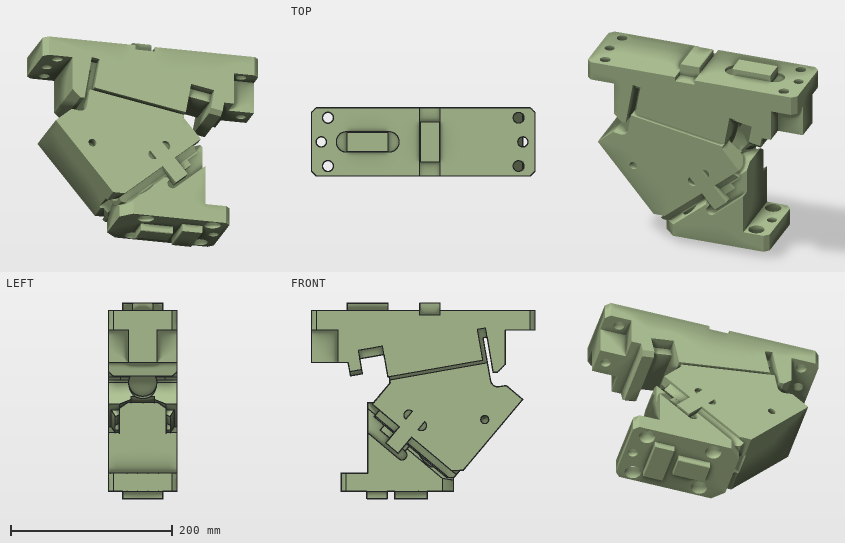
import cadquery as cq
import math

width = 85.0
half_width = width / 2
length = 277.0
height = 243.0
key_height = 9.5
plate_top = height - key_height
key_length = 49.9
key_chamfer = 0.8
slot_key_width = 25.5

guide_angle = math.radians(10)
guide_x, guide_z = 97.0, 147.5
guide_end = 123.0
guide_radius = 17.5
guide_axis = -3.3
guide_recess = 1.5
pad_half_width = 27.7
wall_start = -1.7

ramp_angle = math.radians(-40)
ramp_x, ramp_z = 75.3, 117.5
roof_slope = 0.52
ramp_reach = 277.0
roof_eave = -14.7


def tilted_point(start_x, start_z, angle, along, up):
    """X and Z of a point given along and square to a tilted line."""
    x = start_x + along * math.cos(angle) - up * math.sin(angle)
    z = start_z + along * math.sin(angle) + up * math.cos(angle)
    return (x, z)


def on_guide(along, up):
    return tilted_point(guide_x, guide_z, guide_angle, along, up)


def on_ramp(along, up):
    return tilted_point(ramp_x, ramp_z, ramp_angle, along, up)


def roof_height(y):
    return roof_eave + roof_slope * (half_width - abs(y))


def prism(points, full_width=width):
    """Outline in X and Z, extruded equally to both sides of the middle plane."""
    return cq.Workplane("XZ").polyline(points).close().extrude(full_width / 2, both=True)


def tilted_box(place, start, end, bottom, top, full_width=width):
    """Block along a tilted line; place is on_guide or on_ramp."""
    corners = [(start, bottom), (end, bottom), (end, top), (start, top)]
    return prism([place(along, up) for along, up in corners], full_width)


def both_sides(place, start, end, bottom, top, inner, outer):
    """Two mirrored blocks along a tilted line, from |Y| = inner to |Y| = outer."""
    whole = tilted_box(place, start, end, bottom, top, 2 * outer)
    return whole.cut(tilted_box(place, start, end, bottom, top, 2 * inner))


def cross_plane(origin, angle):
    """Plane square to a tilted line: first axis is Y, second points up from the line."""
    x, z = origin
    direction = (math.cos(angle), 0, math.sin(angle))
    return cq.Workplane(cq.Plane(origin=(x, 0, z), xDir=(0, 1, 0), normal=direction))


def ramp_section(points, start, end):
    """Cross-section in Y and height above the ramp, extruded along the ramp."""
    plane = cross_plane(on_ramp(start, 0), ramp_angle)
    return plane.polyline(points).close().extrude(end - start)


def guide_cylinder(start, end):
    """Round bar along the upper guide."""
    plane = cross_plane(on_guide(start, guide_axis), guide_angle)
    return plane.circle(guide_radius).extrude(end - start)


def block(x_start, x_end, full_width, z_start, z_end):
    size = (x_end - x_start, full_width, z_end - z_start)
    return cq.Workplane("XY").box(*size, centered=(False, True, False)).translate((x_start, 0, z_start))


def drill(body, places, diameter, z_start, z_end):
    holes = cq.Workplane("XY").workplane(offset=z_start).pushPoints(places)
    return body.cut(holes.circle(diameter / 2).extrude(z_end - z_start))


plate_bottom = 209.0
plate_chamfer = 6.0
foot_bottom = 169.0
foot_end = 33.0
foot_width = 35.0
hook_start, hook_end = -47.0, -31.9
hook_bottom = 13.3
hook_chamfer = 5.5
relief = 4.2
slot_top = 43.0
notch_pad_bottom = 32.0
slit_pad_bottom = 31.3
slit_start, slit_end = 117.7, 128.0
claw_x, claw_bottom = 240.2, 156.8
claw_flat = 5.3
claw_chamfer = 10.0

cross_key_start, cross_key_end = 134.0, 159.5
cross_channel_depth = 5.8
long_key_start, long_key_end = 44.3, 95.0
pocket_start, pocket_end = 30.7, 108.5
pocket_depth = 4.2

bolt_y = 30.0
bolt_diameter = 13.3
bolt_xs = (20.5, 256.5)
dowel_diameter = 12.5
dowel_xs = (12.2, 261.8)


def holder_blank():
    hook_root = (foot_bottom - on_guide(hook_start, 0)[1]) / math.cos(guide_angle)
    claw_tip = (claw_x - claw_flat - claw_chamfer, claw_bottom)
    outline = [
        (0, plate_top), (0, foot_bottom), on_guide(hook_start, hook_root),
        on_guide(hook_start, hook_bottom), on_guide(hook_end, hook_bottom),
        on_guide(hook_end, slot_top), on_guide(wall_start, slot_top),
        on_guide(wall_start, relief), on_guide(slit_start, relief),
        on_guide(slit_start, slot_top), on_guide(slit_end, slot_top),
        claw_tip, (claw_tip[0] + claw_flat, claw_bottom),
        (claw_x, claw_bottom + claw_chamfer), (claw_x, plate_bottom),
        (length, plate_bottom), (length, plate_top),
    ]
    return prism(outline)


def holder_pads():
    pad_width = 2 * pad_half_width
    pads = tilted_box(on_guide, 0, guide_end, 0, slot_top, pad_width)
    pads = pads.union(tilted_box(on_guide, hook_end, wall_start, notch_pad_bottom, slot_top, pad_width))
    pads = pads.union(tilted_box(on_guide, slit_start, slit_end, slit_pad_bottom, slot_top, pad_width))
    return pads.union(guide_cylinder(guide_recess, guide_end))


def hook_corner_cuts():
    """Chamfers on the two lower corners of the left hook."""
    plane = cross_plane(on_guide(hook_start, hook_bottom), guide_angle)
    corner = [(half_width, 0), (half_width - hook_chamfer, 0), (half_width, hook_chamfer)]
    cut = plane.polyline(corner).close().extrude(hook_end - hook_start)
    return cut.union(cut.mirror("XZ"))


def long_pocket():
    middle = (pocket_start + pocket_end) / 2
    plane = cq.Workplane("XY", origin=(middle, 0, plate_top))
    return plane.slot2D(pocket_end - pocket_start, slot_key_width).extrude(-pocket_depth)


def make_holder():
    body = holder_blank().union(holder_pads()).cut(hook_corner_cuts())
    body = body.cut(guide_cylinder(wall_start, guide_recess))
    foot_sides = block(0, foot_end, width, foot_bottom, plate_bottom)
    body = body.cut(foot_sides.cut(block(0, foot_end, foot_width, foot_bottom, plate_bottom)))
    plate = block(0, length, width, 0, plate_top).edges("|Z").chamfer(plate_chamfer)
    body = body.intersect(plate)
    channel_floor = plate_top - cross_channel_depth
    body = body.cut(block(cross_key_start, cross_key_end, width, channel_floor, plate_top))
    body = body.cut(long_pocket())
    bolts = [(x, y) for x in bolt_xs for y in (-bolt_y, bolt_y)]
    body = drill(body, bolts, bolt_diameter, plate_bottom, plate_top)
    body = drill(body, [(x, 0) for x in dowel_xs], dowel_diameter, foot_bottom, plate_top)
    cross_key = block(cross_key_start, cross_key_end, key_length, channel_floor, height)
    long_key = block(long_key_start, long_key_end, slot_key_width, plate_top - pocket_depth, height)
    body = body.union(cross_key.faces(">Z").edges("|Y").chamfer(key_chamfer))
    return body.union(long_key.faces(">Z").edges("|X").chamfer(key_chamfer))


slider_length = 139.0
slider_depth = 124.5
step_end = 112.2
slider_end_bottom = 35.5
end_face_height = 35.0
step_floor = -31.3
step_radius = 9.0
groove_start = -33.2
groove_half_width = 28.8
cavity_half_width = 14.5
cavity_height = 12.5
groove_shoulder = roof_slope * (groove_half_width - cavity_half_width)
liner_start, liner_end = 11.5, 136.0
liner_outer_top, liner_outer_bottom = 39.0, 34.3
liner_lip_height = -9.0
liner_lowest = 26.3
strap_start, strap_end = 43.8, 63.7
strap_bottom = -26.0
strap_inner = 30.7
catch_start, catch_end = 28.3, 68.5
catch_bottom = -18.3
catch_inner, catch_outer = 29.6, 34.0
screw_diameter = 12.7
screw_height = 18.8
screw_depth = 5.5
screw_top = screw_height + screw_diameter / 2
lift_x, lift_z = 214.7, 98.3
lift_diameter = 10.0
lift_depth = 13.8


def slider_blank():
    level_start = (ramp_z - slider_end_bottom) / math.sin(-ramp_angle)
    level_rise = (slider_length - level_start) * math.tan(-ramp_angle)
    end_top = on_ramp(0, end_face_height)
    outline = [
        on_ramp(0, 0), on_ramp(level_start, 0), on_ramp(slider_length, level_rise),
        on_ramp(slider_length, slider_depth), on_ramp(step_end, slider_depth),
        on_guide(guide_end, step_floor), on_guide(guide_end, 0), (guide_x, guide_z),
        (guide_x, end_top[1]), end_top,
    ]
    corner_x, corner_z = on_guide(guide_end, step_floor)
    corner = cq.selectors.NearestToPointSelector((corner_x, 0, corner_z))
    return prism(outline).edges("|Y").edges(corner).fillet(step_radius)


def ramp_groove():
    """Roof-shaped groove with a flat-topped cavity along its middle."""
    right = [(groove_half_width, 0), (cavity_half_width, groove_shoulder), (cavity_half_width, cavity_height)]
    left = [(-y, up) for y, up in reversed(right)]
    return ramp_section(right + left, 0, slider_length)


def ramp_liners():
    """Sloping runners that fill the space between groove and ramp."""
    section = [
        (cavity_half_width, groove_shoulder), (groove_half_width, 0), (liner_outer_top, 0),
        (liner_outer_bottom, liner_lip_height), (liner_outer_bottom, roof_height(liner_outer_bottom)),
        (cavity_half_width, roof_height(cavity_half_width)),
    ]
    liner = ramp_section(section, liner_start, liner_end)
    liner = liner.cut(block(0, length, width, 0, liner_lowest))
    return liner.union(liner.mirror("XZ"))


def side_holes(center, diameter, depth):
    """Blind holes from both sides, centred at the given X and Z."""
    x, z = center
    hole = cq.Workplane("XZ", origin=(x, half_width, z)).circle(diameter / 2).extrude(depth)
    return hole.union(hole.mirror("XZ"))


def lift_holes():
    """Conical-bottomed holes in both sides."""
    radius = lift_diameter / 2
    profile = [(0, 0), (radius, 0), (radius, lift_depth), (0, lift_depth + radius)]
    hole = cq.Workplane("XY").polyline(profile).close().revolve(360, (0, 0, 0), (0, 1, 0))
    hole = hole.translate((lift_x, -half_width, lift_z))
    return hole.union(hole.mirror("XZ"))


def make_slider():
    body = slider_blank().cut(guide_cylinder(groove_start, guide_end)).cut(ramp_groove())
    for along in (strap_start, strap_end):
        body = body.cut(side_holes(on_ramp(along, screw_height), screw_diameter, screw_depth))
    straps = both_sides(on_ramp, strap_start, strap_end, strap_bottom, screw_top, strap_inner, half_width)
    catches = both_sides(on_ramp, catch_start, catch_end, catch_bottom, 0, catch_inner, catch_outer)
    body = body.union(straps).union(catches)
    return body.union(ramp_liners()).cut(lift_holes())


base_start, base_end = 36.8, 176.2
flange_top = 31.9
post_x = 69.5
post_top = 119.5
left_chamfer = 6.0
right_chamfer = 14.0
neck_half_width = 29.0
neck_end = 68.7
neck_bottom = -30.7
neck_relief_radius = 6.0
mount_diameter = 20.2
mount_xs = (56.8, 142.7)
base_dowel_x = 47.5
wide_key_start, wide_key_end = 68.5, 94.2
narrow_key_start, narrow_key_end = 103.0, 143.8


def ramp_roof():
    """Everything below the roof-shaped ramp surface."""
    section = [
        (-half_width, -ramp_reach), (half_width, -ramp_reach), (half_width, roof_eave),
        (0, roof_height(0)), (-half_width, roof_eave),
    ]
    return ramp_section(section, -ramp_reach, ramp_reach)


def neck_cuts():
    """Clearances beside the post for the straps, with a round corner relief."""
    cuts = both_sides(on_ramp, -ramp_reach, neck_end, neck_bottom, ramp_reach, neck_half_width, half_width)
    relief_center = on_ramp(neck_end, neck_bottom + neck_relief_radius)
    return cuts.union(side_holes(relief_center, 2 * neck_relief_radius, half_width - neck_half_width))


def make_base():
    outline = [
        (base_start, key_height), (base_end, key_height), (base_end, post_top),
        (post_x, post_top), (post_x, flange_top), (base_start, flange_top),
    ]
    body = prism(outline).edges("|Z and <X").chamfer(left_chamfer)
    body = body.edges("|Z and >X").chamfer(right_chamfer)
    body = body.intersect(ramp_roof()).cut(neck_cuts())
    mounts = [(x, y) for x in mount_xs for y in (-bolt_y, bolt_y)]
    body = drill(body, mounts, mount_diameter, key_height, post_top)
    body = drill(body, [(base_dowel_x, 0)], dowel_diameter, key_height, flange_top)
    wide_key = block(wide_key_start, wide_key_end, key_length, 0, key_height)
    narrow_key = block(narrow_key_start, narrow_key_end, slot_key_width, 0, key_height)
    body = body.union(wide_key.faces("<Z").edges("|Y").chamfer(key_chamfer))
    return body.union(narrow_key.faces("<Z").edges("|X").chamfer(key_chamfer))


holder = make_holder()
slider = make_slider()
base = make_base()
result = cq.Compound.makeCompound([*holder.solids().vals(), *slider.solids().vals(), *base.solids().vals()])